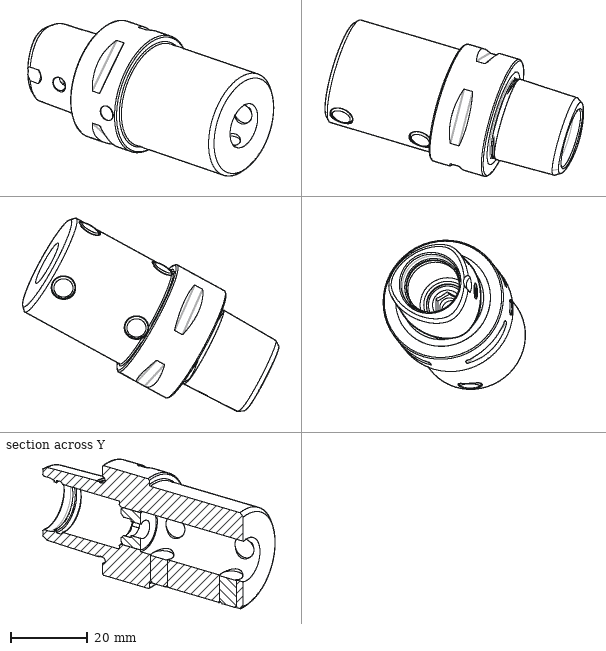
import cadquery as cq
import math

total_length = 64.0

polygon_mean_radius = 11.0
polygon_lobe = 0.65
polygon_length = 17.35
taper_per_length = 1 / 40
nose_chamfer_length = 1.4
nose_chamfer_depth = 0.9
neck_inset = 0.1
neck_radius = 10.8
collar_start = 18.55
collar_radius = 10.9

flange_start = 19.0
flange_end = 34.05
flange_radius = 16.0
flange_chamfer = 0.4
face_groove_outer_radius = 12.6
gripper_slot_x = 27.1
gripper_slot_floor = 14.15
gripper_slot_floor_width = 2.4
gripper_slot_fillet = 0.25
gripper_slot_side_angle = 30
gripper_slot_angles = (45, 135, 225, 315)
dimple_x = 31.05
dimple_radius = 2.05
dimple_depth = 0.25
dimple_point_angle = 120

shank_radius = 14.0
shank_chamfer = 1.0
shank_base_fillet = 0.4

mouth_radius = 8.2
mouth_bore_radius = 7.8
mouth_chamfer = mouth_radius - mouth_bore_radius
lead_cone_start = 2.4
lead_cone_end = 3.65
lead_cone_end_radius = 7.4
cavity_radius = 7.05
lip_end = 4.4
clamp_groove_radius = 7.7
clamp_groove_cone_start = 5.75
clamp_groove_cone_end = 6.35
cavity_end = 24.3

side_hole_x = 11.0
side_hole_radius = 1.85
side_hole_chamfer = 0.3
side_hole_depth = 6.4
side_hole_tilt = 5
keyway_radius = 2.55
keyway_length = 4.1
keyway_y = -11.45
keyway_point_angle = 90

stop_screw_radius = 5.5
stop_screw_face_radius = 4.9
stop_screw_length = 6.4
stop_hole_mouth_radius = 6.1
stop_hole_chamfer = stop_hole_mouth_radius - stop_screw_radius
stop_screw_start = cavity_end + stop_hole_chamfer
stop_screw_end = stop_screw_start + stop_screw_length
hex_across_flats = 6.0
hex_mouth_radius = 3.85
hex_depth = 3.2
coolant_radius = 2.5
clamping_bore_radius = 6.0

clamp_screw_radius = 3.0
clamp_screw_chamfer = 0.5
clamp_hole_mouth_radius = 3.2
clamp_screw_places = (37.05, 59.1)
clamp_screw_turns = (0, 90)

X_AXIS = ((0, 0, 0), (1, 0, 0))


def turned(outline):
    """Solid of revolution about X from (x, radius) points."""
    return cq.Workplane("XY").polyline(outline).close().revolve(360, *X_AXIS)


def polygon_wire(x, inset):
    """Three-lobed coupling section at x, offset inwards from the full-size section."""
    mean = polygon_mean_radius - inset

    def outline(t):
        angle = 2 * math.pi * t
        support = mean + polygon_lobe * math.cos(3 * angle)
        slope = -3 * polygon_lobe * math.sin(3 * angle)
        return (
            support * math.cos(angle) - slope * math.sin(angle),
            support * math.sin(angle) + slope * math.cos(angle),
        )

    return cq.Workplane("YZ", origin=(x, 0, 0)).parametricCurve(outline, N=120).val()


def polygon_frustum(start, start_inset, end, end_inset):
    wires = [polygon_wire(start, start_inset), polygon_wire(end, end_inset)]
    return cq.Workplane(cq.Solid.makeLoft(wires, True))


def coupling():
    shoulder_inset = (polygon_length - nose_chamfer_length) * taper_per_length
    nose = polygon_frustum(0, shoulder_inset + nose_chamfer_depth, nose_chamfer_length, shoulder_inset)
    taper = polygon_frustum(nose_chamfer_length, shoulder_inset, polygon_length, 0)
    neck = polygon_frustum(polygon_length, neck_inset, flange_start, neck_inset)
    corner_radius = polygon_mean_radius + polygon_lobe
    neck_limit = turned([
        (polygon_length, 0),
        (polygon_length, corner_radius),
        (polygon_length + corner_radius - neck_radius, neck_radius),
        (flange_start, neck_radius),
        (flange_start, 0),
    ])
    collar = cq.Workplane("YZ", origin=(collar_start, 0, 0)).circle(collar_radius)
    collar = collar.extrude(flange_end - collar_start)
    return nose.union(taper).union(neck.intersect(neck_limit)).union(collar)


def flange():
    disc = cq.Workplane("YZ", origin=(flange_start, 0, 0)).circle(flange_radius)
    return disc.extrude(flange_end - flange_start).edges().chamfer(flange_chamfer)


def face_groove():
    """Half-round ring groove in the flange face, around the collar."""
    groove_width = face_groove_outer_radius - collar_radius
    return (
        cq.Workplane("XY")
        .moveTo(flange_start, collar_radius)
        .threePointArc(
            (flange_start + groove_width / 2, collar_radius + groove_width / 2),
            (flange_start, face_groove_outer_radius),
        )
        .close()
        .revolve(360, *X_AXIS)
    )


def shank():
    fillet_sag = shank_base_fillet * (1 - math.cos(math.radians(45)))
    return (
        cq.Workplane("XY")
        .moveTo(flange_end, 0)
        .lineTo(flange_end, shank_radius + shank_base_fillet)
        .threePointArc(
            (flange_end + fillet_sag, shank_radius + fillet_sag),
            (flange_end + shank_base_fillet, shank_radius),
        )
        .lineTo(total_length - shank_chamfer, shank_radius)
        .lineTo(total_length, shank_radius - shank_chamfer)
        .lineTo(total_length, 0)
        .close()
        .revolve(360, *X_AXIS)
    )


def gripper_slots():
    """Trapezoidal slots across the flange rim, floor nearest the axis."""
    height = flange_radius - gripper_slot_floor
    half_floor = gripper_slot_floor_width / 2
    half_top = half_floor + height * math.tan(math.radians(gripper_slot_side_angle))
    slot = (
        cq.Workplane("XZ", origin=(gripper_slot_x, 0, 0))
        .moveTo(-half_floor, gripper_slot_floor)
        .lineTo(half_floor, gripper_slot_floor)
        .lineTo(half_top, flange_radius)
        .lineTo(-half_top, flange_radius)
        .close()
        .extrude(flange_radius, both=True)
        .edges("|Y and <Z")
        .fillet(gripper_slot_fillet)
    )
    return [slot.rotate(*X_AXIS, angle) for angle in gripper_slot_angles]


def drilled_hole(radius, depth, point_angle):
    """Drill shape along +X from the origin: a cylinder with a conical point."""
    point = radius / math.tan(math.radians(point_angle / 2))
    return turned([(0, 0), (0, radius), (depth, radius), (depth + point, 0)])


def dimple():
    hole = drilled_hole(dimple_radius, dimple_depth, dimple_point_angle)
    return hole.rotate((0, 0, 0), (0, 0, 1), 90).translate((dimple_x, -flange_radius, 0))


def keyway():
    return drilled_hole(keyway_radius, keyway_length, keyway_point_angle).translate((0, keyway_y, 0))


def side_hole():
    """Slightly tilted hole from the -Y flat of the coupling into the cavity."""
    mouth_radius_at_flat = side_hole_radius + side_hole_chamfer
    drill = turned([
        (-side_hole_depth, 0),
        (-side_hole_depth, mouth_radius_at_flat),
        (0, mouth_radius_at_flat),
        (side_hole_chamfer, side_hole_radius),
        (side_hole_depth, side_hole_radius),
        (side_hole_depth, 0),
    ])
    flat_y = polygon_lobe - polygon_mean_radius + (polygon_length - side_hole_x) * taper_per_length
    return drill.rotate((0, 0, 0), (0, 0, 1), 90 + side_hole_tilt).translate((side_hole_x, flat_y, 0))


def cavity():
    return turned([
        (0, 0),
        (0, mouth_radius),
        (mouth_chamfer, mouth_bore_radius),
        (lead_cone_start, mouth_bore_radius),
        (lead_cone_end, lead_cone_end_radius),
        (lead_cone_end, cavity_radius),
        (lip_end, cavity_radius),
        (lip_end, clamp_groove_radius),
        (clamp_groove_cone_start, clamp_groove_radius),
        (clamp_groove_cone_end, cavity_radius),
        (cavity_end, cavity_radius),
        (cavity_end, stop_hole_mouth_radius),
        (stop_screw_start, stop_screw_radius),
        (stop_screw_end, stop_screw_radius),
        (stop_screw_end, clamping_bore_radius),
        (total_length, clamping_bore_radius),
        (total_length, 0),
    ])


def at_clamp_places(body):
    """Copies of a body on the -Z side at X = 0, one at each clamping screw place."""
    return [
        body.translate((x, 0, 0)).rotate(*X_AXIS, turn)
        for turn in clamp_screw_turns
        for x in clamp_screw_places
    ]


def clamp_screw():
    length = shank_radius - clamping_bore_radius
    body = cq.Workplane("XY", origin=(0, 0, -shank_radius)).circle(clamp_screw_radius).extrude(length)
    return body.faces("<Z").chamfer(clamp_screw_chamfer)


def clamp_hole():
    """Hole down to the axis with a countersunk mouth, cut clear through the fillet at the shank base."""
    countersink = clamp_hole_mouth_radius - clamp_screw_radius
    mouth_z = -math.sqrt(shank_radius**2 - clamp_hole_mouth_radius**2)
    outer_z = -shank_radius - shank_base_fillet
    return (
        cq.Workplane("XZ")
        .moveTo(0, outer_z)
        .lineTo(clamp_hole_mouth_radius, outer_z)
        .lineTo(clamp_hole_mouth_radius, mouth_z)
        .lineTo(clamp_screw_radius, mouth_z + countersink)
        .lineTo(clamp_screw_radius, 0)
        .lineTo(0, 0)
        .close()
        .revolve(360, (0, 0, 0), (0, 1, 0))
    )


def stop_screw():
    """Screw with a hexagon socket, two of its corners along Z, and a coolant hole right through."""
    start = stop_screw_start
    plane = cq.Workplane("YZ", origin=(start, 0, 0))
    body = plane.circle(stop_screw_radius).extrude(stop_screw_length)
    body = body.faces("<X").chamfer(stop_screw_radius - stop_screw_face_radius)
    across_corners = 2 * hex_across_flats / math.sqrt(3)
    socket = plane.polygon(6, across_corners).extrude(hex_depth).rotate(*X_AXIS, 90)
    socket_mouth = turned([(start, 0), (start, hex_mouth_radius), (start + hex_mouth_radius, 0)])
    coolant_hole = plane.circle(coolant_radius).extrude(stop_screw_length)
    return body.cut(socket).cut(socket_mouth).cut(coolant_hole)


def housing():
    body = coupling().union(flange()).union(shank()).cut(face_groove())
    for slot in gripper_slots():
        body = body.cut(slot)
    body = body.cut(dimple()).cut(keyway()).cut(cavity()).cut(side_hole())
    for hole in at_clamp_places(clamp_hole()):
        body = body.cut(hole)
    return body


result = cq.Compound.makeCompound([
    housing().val(),
    stop_screw().val(),
    *[screw.val() for screw in at_clamp_places(clamp_screw())],
])